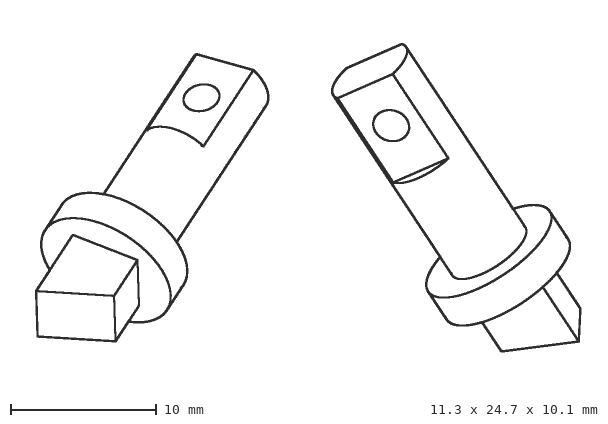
import cadquery as cq

shank_diameter = 6.0
shank_length = 16.0
collar_diameter = 10.0
collar_thickness = 2.5

flat_length = 7.49
flat_spacing = 4.0
flat_roll = 9.0
hole_diameter = 2.5
hole_from_end = 3.5

tongue_width = 5.0
tongue_long_side = 5.5
tongue_short_side = 3.5

pin_pitch = 2.5
pin_yaw = 10.6


def make_turned_body():
    """Shank along +Y, standing on the collar whose rear face is at Y = 0."""
    collar = cq.Workplane("XZ").circle(collar_diameter / 2).extrude(collar_thickness)
    shank = cq.Workplane("XZ").circle(shank_diameter / 2).extrude(-shank_length)
    return collar.union(shank)


def make_tongue():
    """Square bar in front of the collar, longer on its -X side."""
    half = tongue_width / 2
    root = -collar_thickness
    outline = [
        (-half, root),
        (half, root),
        (half, root - tongue_short_side),
        (-half, root - tongue_long_side),
    ]
    return cq.Workplane("XY").polyline(outline).close().extrude(half, both=True)


def make_flats_cutter():
    """Material removed by both flats and the hole through them."""
    flat_middle = shank_length - flat_length / 2
    envelope = cq.Workplane("XY").box(shank_diameter * 2, flat_length, shank_diameter * 2)
    blade = cq.Workplane("XY").box(shank_diameter * 2, flat_length, flat_spacing)
    flats = envelope.cut(blade).translate((0, flat_middle, 0))
    hole = (
        cq.Workplane("XY")
        .center(0, shank_length - hole_from_end)
        .circle(hole_diameter / 2)
        .extrude(shank_diameter, both=True)
    )
    return flats.union(hole).rotate((0, 0, 0), (0, -1, 0), flat_roll)


pin = make_turned_body().union(make_tongue()).cut(make_flats_cutter())

result = pin.rotate((0, 0, 0), (1, 0, 0), pin_pitch).rotate((0, 0, 0), (0, 0, 1), pin_yaw)